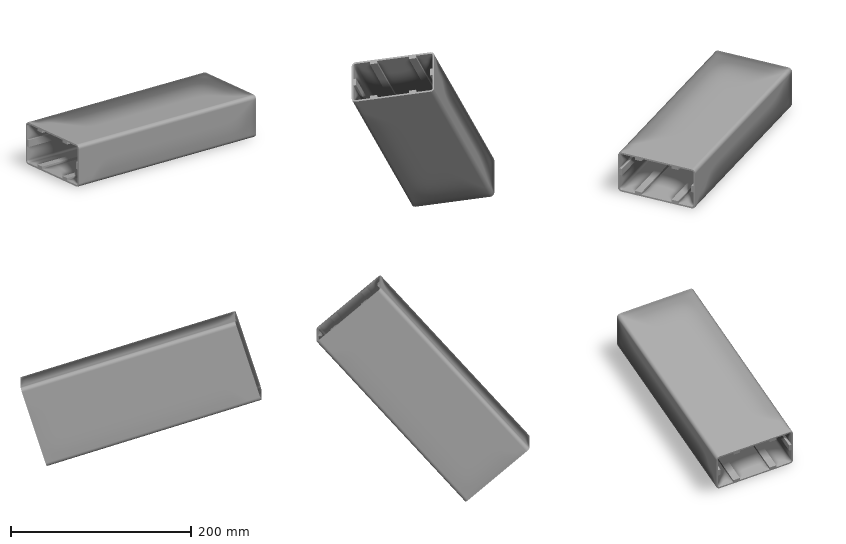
import cadquery as cq

length = 250.0
width = 95.0
height = 50.0
wall = 2.0
outer_radius = 4.5
inner_radius = outer_radius - wall

rib_width = 8.2
rib_height = 3.0
rib_spacing = 45.0

inner_width = width - 2 * wall
inner_height = height - 2 * wall


def rounded_bar(size_x, size_z, radius):
    """Full-length bar with its four long edges rounded."""
    return cq.Workplane("XY").box(size_x, length, size_z).edges("|Y").fillet(radius)


def rib(x, z, size_x, size_z):
    """Full-length rectangular rib centred at (x, z)."""
    return cq.Workplane("XY").box(size_x, length, size_z).translate((x, 0, z))


result = rounded_bar(width, height, outer_radius).cut(
    rounded_bar(inner_width, inner_height, inner_radius)
)

root_depth = wall / 2
rib_depth = rib_height + root_depth
side_rib_x = (inner_width - rib_height + root_depth) / 2
flat_rib_z = (inner_height - rib_height + root_depth) / 2

for side in (-1, 1):
    result = result.union(rib(side * side_rib_x, 0, rib_depth, rib_width))
    for x in (-rib_spacing / 2, rib_spacing / 2):
        result = result.union(rib(x, side * flat_rib_z, rib_width, rib_depth))